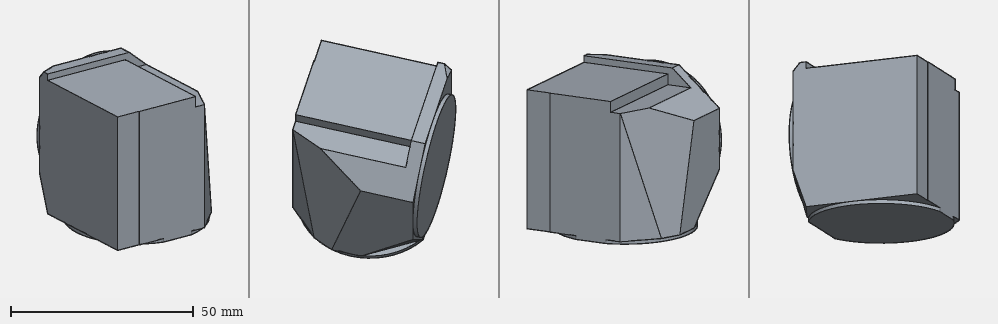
import cadquery as cq

length_x = 38.3
width_y = 40.0
height_z = 42.25

block_left = 1.2
block_bottom = 1.05
pad_thickness = 0.15
block_right = length_x - pad_thickness
pad_front_y = 7.23

flange_right = 5.1
main_top = 40.4
ledge_top = 37.35
ledge_front_y = 26.1

disc_radius = width_y / 2
disc_center_y = width_y / 2
end_disc_center_z = height_z - disc_radius
bottom_disc_center_x = 18.85

bevel_y = 12.55
bevel_z = 10.75

corner_chamfer = 11.0

oblique_bevel_x = 16.0
oblique_bottom_x = 24.2
oblique_end_y = 29.05

top_front_cut = (2.07, 4.7, 2.25)
bottom_front_cut = (3.95, 9.8, 11.0)
bottom_back_cut = (14.8, 9.9, 13.25)


def box_between(low, high):
    """Axis-aligned box from its low corner to its high corner."""
    size = [b - a for a, b in zip(low, high)]
    return cq.Workplane("XY").box(*size, centered=False).translate(low)


def cut_corner(body, corner, setback, directions):
    """Slice off a block corner through the three setback points on its edges."""
    origin = cq.Vector(*corner)
    legs = [
        cq.Vector(setback[0] * directions[0], 0, 0),
        cq.Vector(0, setback[1] * directions[1], 0),
        cq.Vector(0, 0, setback[2] * directions[2]),
    ]
    ends = [origin + leg for leg in legs]
    return cut_beyond_plane(body, ends, origin)


def cut_beyond_plane(body, points, removed_point):
    """Remove everything on removed_point's side of the plane through three points."""
    normal = (points[1] - points[0]).cross(points[2] - points[0])
    if normal.dot(removed_point - points[0]) < 0:
        normal = normal * -1
    reach = 2 * (length_x + width_y + height_z)
    plane = cq.Plane(origin=points[0].toTuple(), normal=normal.toTuple())
    return body.cut(cq.Workplane(plane).rect(reach, reach).extrude(reach))


block = box_between((block_left, 0, block_bottom), (block_right, width_y, height_z))
pad = box_between((block_right, pad_front_y, block_bottom), (length_x, width_y, height_z))
body = block.union(pad)

body = body.cut(box_between((flange_right, 0, main_top), (length_x, width_y, height_z)))
body = body.cut(box_between((flange_right, ledge_front_y, ledge_top), (length_x, width_y, main_top)))

bevel = (
    cq.Workplane("YZ")
    .polyline([
        (width_y - bevel_y, height_z),
        (width_y, height_z),
        (width_y, height_z - bevel_z),
    ])
    .close()
    .extrude(length_x)
)
body = body.cut(bevel)

corner_wedge = (
    cq.Workplane("XY")
    .polyline([
        (length_x - corner_chamfer, width_y),
        (length_x, width_y),
        (length_x, width_y - corner_chamfer),
    ])
    .close()
    .extrude(height_z)
)
body = body.cut(corner_wedge)

oblique_points = [
    cq.Vector(oblique_bevel_x, width_y, height_z - bevel_z),
    cq.Vector(oblique_bottom_x, width_y, block_bottom),
    cq.Vector(length_x, oblique_end_y, ledge_top),
]
body = cut_beyond_plane(body, oblique_points, cq.Vector(length_x, width_y, height_z))

body = cut_corner(body, (block_left, 0, height_z), top_front_cut, (1, 1, -1))
body = cut_corner(body, (block_left, 0, block_bottom), bottom_front_cut, (1, 1, 1))
body = cut_corner(body, (block_left, width_y, block_bottom), bottom_back_cut, (1, -1, 1))

end_disc = (
    cq.Workplane("YZ")
    .center(disc_center_y, end_disc_center_z)
    .circle(disc_radius)
    .extrude(block_left)
)

bottom_disc = (
    cq.Workplane("XY")
    .center(bottom_disc_center_x, disc_center_y)
    .circle(disc_radius)
    .extrude(block_bottom)
    .intersect(box_between((block_left, 0, 0), (length_x, width_y, block_bottom)))
)

result = body.union(end_disc).union(bottom_disc)